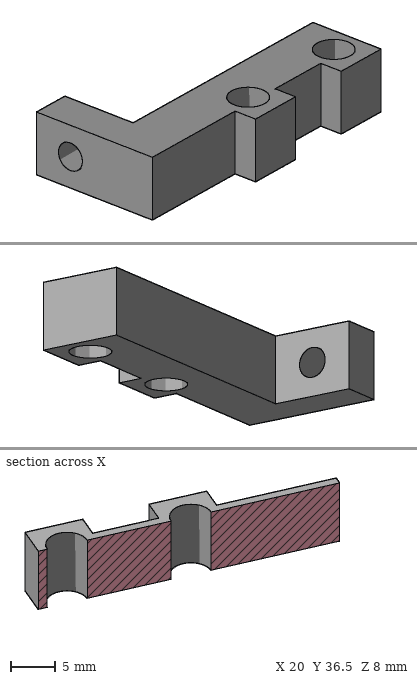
import cadquery as cq

width = 20.0
length = 36.5
height = 8.0

arm_left = width / 2
arm_width = 7.0
foot_depth = 5.0

tab_length = 7.0
tab_pitch = 15.0
tab_hole_diameter = 4.8
tab_hole_edge_distance = 4.0

foot_hole_diameter = 3.5
foot_hole_x = arm_left / 2

tab_centers_y = [length - tab_length / 2 - i * tab_pitch for i in range(2)]


def block(x_min, x_max, y_min, y_max):
    """Full-height block between the given X and Y limits."""
    return cq.Workplane("XY").box(
        x_max - x_min, y_max - y_min, height, centered=False
    ).translate((x_min, y_min, 0))


arm_right = arm_left + arm_width
body = block(arm_left, arm_right, 0, length)
body = body.union(block(0, arm_right, 0, foot_depth))
for center_y in tab_centers_y:
    tab = block(arm_left, width, center_y - tab_length / 2, center_y + tab_length / 2)
    body = body.union(tab)
body = body.clean()

tab_holes = (
    cq.Workplane("XY")
    .pushPoints([(width - tab_hole_edge_distance, y) for y in tab_centers_y])
    .circle(tab_hole_diameter / 2)
    .extrude(height)
)

foot_hole = (
    cq.Workplane("XZ")
    .center(foot_hole_x, height / 2)
    .circle(foot_hole_diameter / 2)
    .extrude(-foot_depth)
)

result = body.cut(tab_holes).cut(foot_hole)